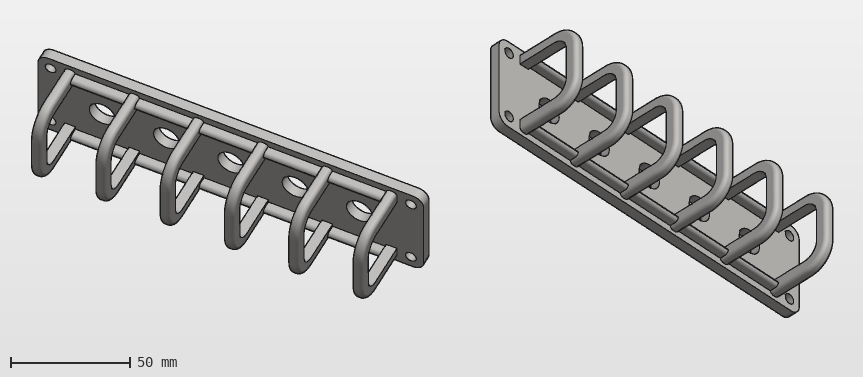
import cadquery as cq
import math

plate_length = 180.0
plate_height = 46.0
plate_thickness = 5.0
corner_radius = 5.0

mount_hole_diameter = 5.0
mount_hole_inset = 6.0
switch_hole_diameter = 12.0
switch_count = 5

total_depth = 38.0
loop_count = switch_count + 1
loop_pitch = plate_length / loop_count
loop_width = 5.0
loop_bar = 6.0
loop_height = 42.0
loop_bend_radius = 13.0

edge_round = 2.0

rail_height = 3.0
rail_depth = 4.9
rail_center_z = 18.0

plate_front = -plate_thickness
first_loop_x = -loop_pitch * (loop_count - 1) / 2
first_switch_x = -loop_pitch * (switch_count - 1) / 2


def make_plate():
    plate = cq.Workplane("XY").box(
        plate_length, plate_thickness, plate_height, centered=(True, False, True)
    )
    plate = plate.translate((0, plate_front, 0)).edges("|Y").fillet(corner_radius)

    mount_spacing_x = plate_length - 2 * mount_hole_inset
    mount_spacing_z = plate_height - 2 * mount_hole_inset
    mount_holes = (
        cq.Workplane("XZ")
        .rect(mount_spacing_x, mount_spacing_z, forConstruction=True)
        .vertices()
        .circle(mount_hole_diameter / 2)
        .extrude(plate_thickness)
    )
    switch_holes = (
        cq.Workplane("XZ")
        .pushPoints([(first_switch_x + i * loop_pitch, 0) for i in range(switch_count)])
        .circle(switch_hole_diameter / 2)
        .extrude(plate_thickness)
    )
    return plate.cut(mount_holes).cut(switch_holes)


def make_bent_block(depth, height, bend_radius):
    """Block standing on the plate, centred on X, with its two free corners bent round."""
    block = cq.Workplane("XY").box(loop_width, depth, height, centered=(True, False, True))
    block = block.translate((0, plate_front - depth, 0))
    return block.edges("<Y and |X").fillet(bend_radius)


def make_loop():
    """U-shaped guard whose outer edges are rounded and whose inner edges are square."""
    depth = total_depth - plate_thickness
    outer = make_bent_block(depth, loop_height, loop_bend_radius)
    outer = outer.faces("<Y").edges("|Z").fillet(edge_round)
    inner = make_bent_block(depth - loop_bar, loop_height - 2 * loop_bar, loop_bend_radius - loop_bar)
    return outer.cut(inner)


def make_rail(center_z):
    """Straight rail from the first loop to the last, its front two arcs meeting in a ridge."""
    length = loop_pitch * (loop_count - 1)
    half_height = rail_height / 2
    ridge_y = plate_front - rail_depth
    center_offset = edge_round - half_height
    arc_start_y = ridge_y + math.sqrt(edge_round**2 - center_offset**2)
    arc_middle_z = half_height / 2
    arc_middle_y = arc_start_y - math.sqrt(edge_round**2 - (arc_middle_z + center_offset) ** 2)
    return (
        cq.Workplane("YZ")
        .moveTo(plate_front, -half_height)
        .lineTo(arc_start_y, -half_height)
        .threePointArc((arc_middle_y, -arc_middle_z), (ridge_y, 0))
        .threePointArc((arc_middle_y, arc_middle_z), (arc_start_y, half_height))
        .lineTo(plate_front, half_height)
        .close()
        .extrude(length / 2, both=True)
        .translate((0, 0, center_z))
    )


result = make_plate()

loop = make_loop()
for i in range(loop_count):
    result = result.union(loop.translate((first_loop_x + i * loop_pitch, 0, 0)))

for side in (-1, 1):
    result = result.union(make_rail(side * rail_center_z))